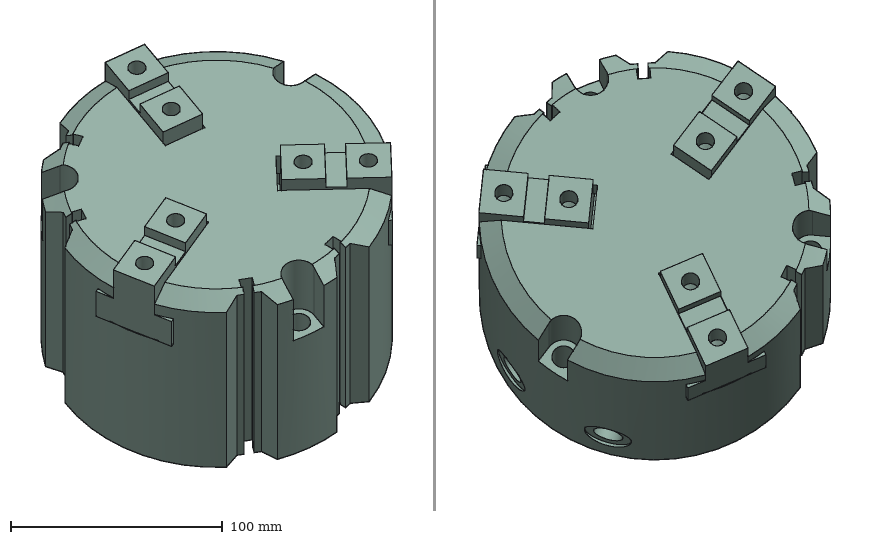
import cadquery as cq
import math

BODY_RADIUS = 83.0
BODY_HEIGHT = 114.5
EDGE_DROP = 5.3
EDGE_WIDTH = 10.3

JAW_ANGLES = (30, 150, 270)
JAW_TOP = 122.1
JAW_WIDTH = 21.9
JAW_FOOT_WIDTH = 40.5
JAW_FOOT_TOP = 102.0
JAW_FOOT_BOTTOM = 84.5
JAW_INNER = 30.4
JAW_OUTER = 82.5
JAW_SLOT_INNER = 28.4
JAW_NOTCH_INNER = 51.3
JAW_NOTCH_OUTER = 61.2
JAW_NOTCH_DEPTH = 6.1
JAW_HOLE_RADII = (40.8, 71.7)
JAW_HOLE_DIAMETER = 8.5
JAW_HOLE_DEPTH = 15.0
DRILL_TIP_ANGLE = 118.0

MOUNT_ANGLES = (90, 210, 330)
MOUNT_RADIUS = 73.8
MOUNT_HOLE_DIAMETER = 11.0
MOUNT_POCKET_WIDTH = 17.0
MOUNT_POCKET_FLOOR = 80.1

GROOVE_ANGLES = (190, 230, 310, 350)
GROOVE_FLOOR = 75.7
GROOVE_FLOOR_WIDTH = 11.8
GROOVE_FLARE_ANGLE = 45.0
SENSOR_SLOT_BOTTOM = 67.5
SENSOR_SLOT_STEP = 72.3
SENSOR_SLOT_MOUTH_WIDTH = 4.8
SENSOR_SLOT_INNER_WIDTH = 6.3

PORT_ANGLES = (70, 110)
PORT_HEIGHT = 23.2
PORT_DIAMETER = 14.3
PORT_DEPTH = 19.9
PORT_FACE_DIAMETER = 23.0
PORT_FACE_RADIUS = 81.5

CLEARANCE = 8.3


def turned(solid, angle):
    """Turn a solid from the +X direction to the given angle about Z."""
    return solid.rotate((0, 0, 0), (0, 0, 1), angle)


def radial_bar(inner, outer, width, bottom, top):
    """Bar along +X between two radii and two heights, centred on the X axis."""
    return (
        cq.Workplane("XY", origin=((inner + outer) / 2, 0, bottom))
        .rect(outer - inner, width)
        .extrude(top - bottom)
    )


def t_bar(inner, outer, top):
    """Inverted T-section bar along +X."""
    stem = radial_bar(inner, outer, JAW_WIDTH, JAW_FOOT_BOTTOM, top)
    foot = radial_bar(inner, outer, JAW_FOOT_WIDTH, JAW_FOOT_BOTTOM, JAW_FOOT_TOP)
    return stem.union(foot)


def body():
    profile = [
        (0, 0),
        (BODY_RADIUS, 0),
        (BODY_RADIUS, BODY_HEIGHT - EDGE_DROP),
        (BODY_RADIUS - EDGE_WIDTH, BODY_HEIGHT),
        (0, BODY_HEIGHT),
    ]
    return cq.Workplane("XZ").polyline(profile).close().revolve(360, (0, 0), (0, 1))


def drilled_hole(radius):
    """Blind hole cutter from the jaw top, with a conical bottom."""
    hole_radius = JAW_HOLE_DIAMETER / 2
    tip = hole_radius / math.tan(math.radians(DRILL_TIP_ANGLE / 2))
    profile = [(0, 0), (hole_radius, 0), (hole_radius, -JAW_HOLE_DEPTH), (0, -JAW_HOLE_DEPTH - tip)]
    return (
        cq.Workplane("XZ", origin=(radius, 0, JAW_TOP))
        .polyline(profile)
        .close()
        .revolve(360, (0, 0), (0, 1))
    )


def jaw():
    notch_floor = JAW_TOP - JAW_NOTCH_DEPTH
    solid = t_bar(JAW_INNER, JAW_OUTER, JAW_TOP).cut(
        radial_bar(JAW_NOTCH_INNER, JAW_NOTCH_OUTER, JAW_WIDTH, notch_floor, JAW_TOP)
    )
    for radius in JAW_HOLE_RADII:
        solid = solid.cut(drilled_hole(radius))
    return solid


def mount_cutter():
    """Through hole and the round-ended pocket that opens to the outside."""
    pocket_height = BODY_HEIGHT - MOUNT_POCKET_FLOOR
    pocket_end = (
        cq.Workplane("XY", origin=(MOUNT_RADIUS, 0, MOUNT_POCKET_FLOOR))
        .circle(MOUNT_POCKET_WIDTH / 2)
        .extrude(pocket_height)
    )
    pocket = radial_bar(
        MOUNT_RADIUS, BODY_RADIUS + CLEARANCE, MOUNT_POCKET_WIDTH, MOUNT_POCKET_FLOOR, BODY_HEIGHT
    )
    hole = (
        cq.Workplane("XY", origin=(MOUNT_RADIUS, 0, 0))
        .circle(MOUNT_HOLE_DIAMETER / 2)
        .extrude(BODY_HEIGHT)
    )
    return pocket_end.union(pocket).union(hole)


def groove_cutter():
    """Full-height flared channel with a T-slot in its floor."""
    outer = BODY_RADIUS + CLEARANCE
    half_floor = GROOVE_FLOOR_WIDTH / 2
    half_outer = half_floor + (outer - GROOVE_FLOOR) * math.tan(math.radians(GROOVE_FLARE_ANGLE))
    channel = (
        cq.Workplane("XY")
        .polyline(
            [
                (GROOVE_FLOOR, -half_floor),
                (outer, -half_outer),
                (outer, half_outer),
                (GROOVE_FLOOR, half_floor),
            ]
        )
        .close()
        .extrude(BODY_HEIGHT)
    )
    mouth = radial_bar(SENSOR_SLOT_BOTTOM, outer, SENSOR_SLOT_MOUTH_WIDTH, 0, BODY_HEIGHT)
    inner = radial_bar(SENSOR_SLOT_BOTTOM, SENSOR_SLOT_STEP, SENSOR_SLOT_INNER_WIDTH, 0, BODY_HEIGHT)
    return channel.union(mouth).union(inner)


def port_cutter():
    """Radial blind port with a flat round face sunk into the cylinder."""
    face_plane = cq.Workplane("YZ", origin=(PORT_FACE_RADIUS, 0, PORT_HEIGHT))
    spot_face = face_plane.circle(PORT_FACE_DIAMETER / 2).extrude(CLEARANCE)
    bore = face_plane.circle(PORT_DIAMETER / 2).extrude(-PORT_DEPTH)
    return spot_face.union(bore)


result = body()

for angle in MOUNT_ANGLES:
    result = result.cut(turned(mount_cutter(), angle))

for angle in GROOVE_ANGLES:
    result = result.cut(turned(groove_cutter(), angle))

for angle in PORT_ANGLES:
    result = result.cut(turned(port_cutter(), angle))

for angle in JAW_ANGLES:
    guide_slot = t_bar(JAW_SLOT_INNER, BODY_RADIUS + CLEARANCE, BODY_HEIGHT)
    result = result.cut(turned(guide_slot, angle))
    result = result.union(turned(jaw(), angle))